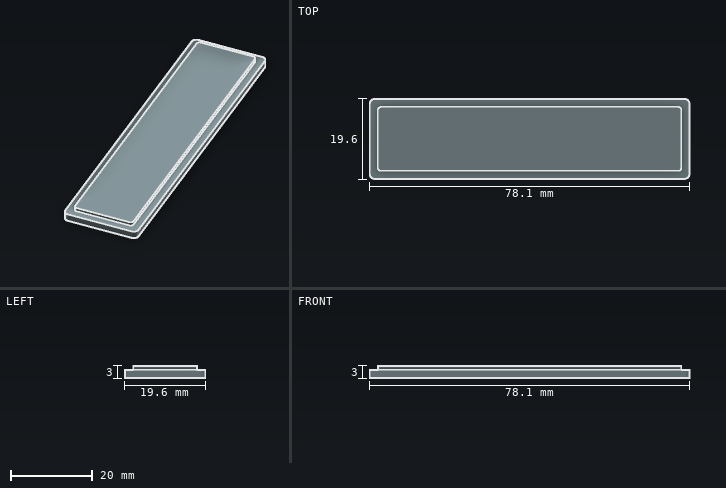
import cadquery as cq

base_length = 78.1
base_width = 19.6
base_height = 2.0
base_corner_radius = 1.3

panel_inset = 2.0
panel_length = base_length - 2 * panel_inset
panel_width = base_width - 2 * panel_inset
panel_height = 1.0
panel_corner_radius = 0.8


def rounded_plate(length, width, height, corner_radius, bottom_z):
    """Flat plate centred on the Z axis, with rounded vertical edges."""
    plate = cq.Workplane("XY").workplane(offset=bottom_z).rect(length, width).extrude(height)
    return plate.edges("|Z").fillet(corner_radius)


base = rounded_plate(base_length, base_width, base_height, base_corner_radius, 0)
panel = rounded_plate(panel_length, panel_width, panel_height, panel_corner_radius, base_height)

result = base.union(panel)